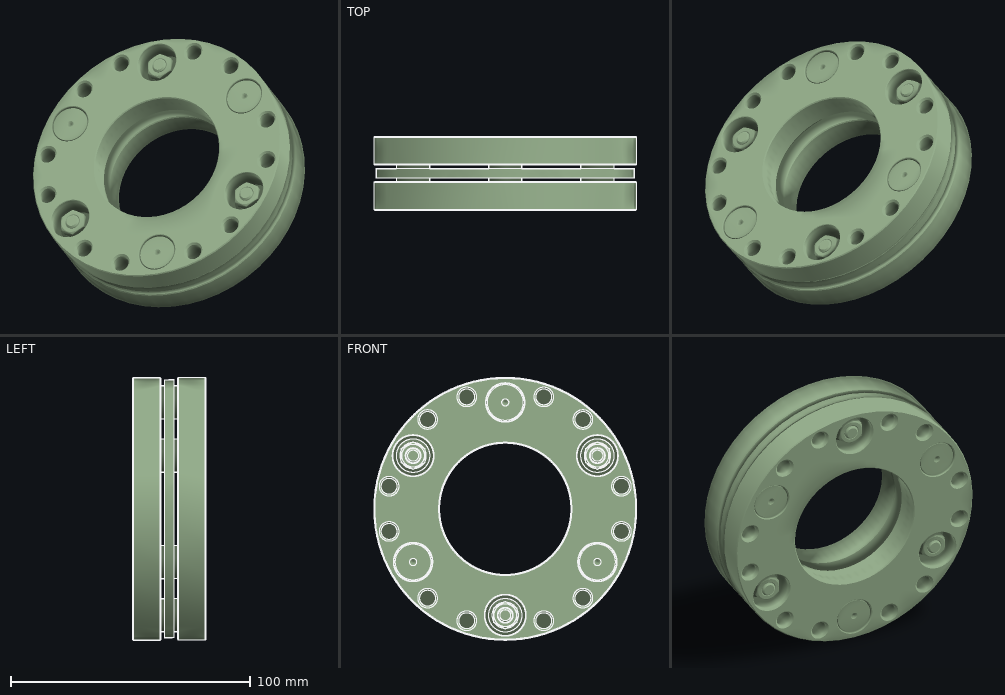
import cadquery as cq
import math

OVERALL_WIDTH = 30.9
HUB_DIAMETER = 110.0
HUB_BORE = 55.0
HUB_THICKNESS = 12.0
HUB_EDGE_CHAMFER = 0.4

DISC_DIAMETER = 108.0
DISC_BORE = 65.0
DISC_THICKNESS = 4.0

BOLT_COUNT = 6
BOLT_CIRCLE_RADIUS = 44.5
HEAD_DIAMETER = 15.0
HEAD_RECESS_DIAMETER = 16.0
HEAD_RECESS_DEPTH = 4.0
HEAD_SETBACK = 0.5
CENTRE_MARK_DIAMETER = 3.0
CENTRE_MARK_ANGLE = 120.0
CENTRE_MARK_DEPTH = CENTRE_MARK_DIAMETER / 2 / math.tan(math.radians(CENTRE_MARK_ANGLE / 2))
CLEARANCE_HOLE_DIAMETER = 17.0
BOLT_HOLE_CHAMFER = 0.25
SLEEVE_DIAMETER = 14.0
SLEEVE_TIP_DIAMETER = 11.0
SLEEVE_TAPER_ANGLE = 30.0
SLEEVE_TAPER_LENGTH = (SLEEVE_DIAMETER - SLEEVE_TIP_DIAMETER) / 2 * math.tan(math.radians(SLEEVE_TAPER_ANGLE))
NUT_SIDES = 6
NUT_ACROSS_FLATS = 10.0
NUT_ACROSS_CORNERS = NUT_ACROSS_FLATS / math.cos(math.pi / NUT_SIDES)
NUT_FACE_DIAMETER = 9.5
NUT_HEIGHT = 5.0
NUT_CHAMFER_ANGLE = 30.0
NUT_TOP_DEPTH = 3.0
NUT_COUNTERSINK_DIAMETER = 6.6
STUD_DIAMETER = 6.0
NUT_COUNTERSINK_DEPTH = (NUT_COUNTERSINK_DIAMETER - STUD_DIAMETER) / 2
STUD_CHAMFER = 0.7
STUD_END_DEPTH = 2.3

MOUNTING_CIRCLE_RADIUS = 49.5
MOUNTING_HALF_ANGLE = 11.0
MOUNTING_HOLE_DIAMETER = 6.65
MOUNTING_MOUTH_DIAMETER = 8.2
MOUNTING_CHAMFER = (MOUNTING_MOUTH_DIAMETER - MOUNTING_HOLE_DIAMETER) / 2

BOLT_PITCH = 360.0 / BOLT_COUNT
FRONT_FACE = -OVERALL_WIDTH / 2
HUB_INNER_FACE = FRONT_FACE + HUB_THICKNESS


def polar_point(radius, angle):
    """Point (x, z) at an angle in degrees, measured clockwise from +Z."""
    return radius * math.sin(math.radians(angle)), radius * math.cos(math.radians(angle))


def cone(center, y_start, y_end, start_diameter, end_diameter):
    """Round body along Y whose diameter changes evenly from one end to the other."""
    x, z = center
    body = cq.Solid.makeCone(
        start_diameter / 2, end_diameter / 2, y_end - y_start, cq.Vector(x, y_start, z), cq.Vector(0, 1, 0)
    )
    return cq.Workplane(obj=body)


def cylinder(center, y_start, y_end, diameter):
    """Round body along Y between two Y positions."""
    x, z = center
    body = cq.Solid.makeCylinder(
        diameter / 2, y_end - y_start, cq.Vector(x, y_start, z), cq.Vector(0, 1, 0)
    )
    return cq.Workplane(obj=body)


def ring(y_start, y_end, outer_diameter, inner_diameter):
    """Ring about the Y axis."""
    axis = (0, 0)
    return cylinder(axis, y_start, y_end, outer_diameter).cut(cylinder(axis, y_start, y_end, inner_diameter))


def headed_angles():
    """Bolts whose heads lie in the front hub."""
    return [index * BOLT_PITCH for index in range(0, BOLT_COUNT, 2)]


def nut_angles():
    """Bolts whose nuts lie in the front hub."""
    return [index * BOLT_PITCH for index in range(1, BOLT_COUNT, 2)]


def front_hole(center, depth, diameter, chamfer):
    """Cutter for a hole from the front face whose mouth has a 45 degree chamfer."""
    mouth = cone(center, FRONT_FACE, FRONT_FACE + chamfer, diameter + 2 * chamfer, diameter)
    return cylinder(center, FRONT_FACE, FRONT_FACE + depth, diameter).union(mouth)


def cut_mounting_holes(hub):
    for index in range(BOLT_COUNT):
        pair_angle = (index + 0.5) * BOLT_PITCH
        for offset in (-MOUNTING_HALF_ANGLE, MOUNTING_HALF_ANGLE):
            center = polar_point(MOUNTING_CIRCLE_RADIUS, pair_angle + offset)
            hub = hub.cut(front_hole(center, HUB_THICKNESS, MOUNTING_HOLE_DIAMETER, MOUNTING_CHAMFER))
    return hub


def make_bolt_head(center):
    """Bolt head with a conical centre mark, standing in its recess just below the hub face."""
    head_face = FRONT_FACE + HEAD_SETBACK
    head = cylinder(center, head_face, FRONT_FACE + HEAD_RECESS_DEPTH, HEAD_DIAMETER)
    mark = cone(center, head_face, head_face + CENTRE_MARK_DEPTH, CENTRE_MARK_DIAMETER, 0)
    return head.cut(mark)


def make_front_hub():
    hub = ring(FRONT_FACE, HUB_INNER_FACE, HUB_DIAMETER, HUB_BORE)
    hub = hub.faces("<Y or >Y").edges().chamfer(HUB_EDGE_CHAMFER)
    hub = cut_mounting_holes(hub)
    for angle in nut_angles():
        center = polar_point(BOLT_CIRCLE_RADIUS, angle)
        hub = hub.cut(front_hole(center, HUB_THICKNESS, CLEARANCE_HOLE_DIAMETER, BOLT_HOLE_CHAMFER))
    for angle in headed_angles():
        center = polar_point(BOLT_CIRCLE_RADIUS, angle)
        hub = hub.cut(front_hole(center, HEAD_RECESS_DEPTH, HEAD_RECESS_DIAMETER, BOLT_HOLE_CHAMFER))
        hub = hub.union(make_bolt_head(center))
        hub = hub.union(cylinder(center, HUB_INNER_FACE, 0, SLEEVE_DIAMETER))
    return hub


def make_nut(center):
    """Hexagon nut with two corners along Z and chamfered corners and a countersink on its outer face."""
    top = FRONT_FACE + NUT_TOP_DEPTH
    cone_growth = 2 * NUT_HEIGHT / math.tan(math.radians(NUT_CHAMFER_ANGLE))
    hexagon = (
        cq.Workplane("XZ", origin=(center[0], top, center[1]))
        .transformed(rotate=(0, 0, 90))
        .polygon(NUT_SIDES, NUT_ACROSS_CORNERS)
        .extrude(-NUT_HEIGHT)
    )
    envelope = cone(center, top, top + NUT_HEIGHT, NUT_FACE_DIAMETER, NUT_FACE_DIAMETER + cone_growth)
    countersink = cone(center, top, top + NUT_COUNTERSINK_DEPTH, NUT_COUNTERSINK_DIAMETER, STUD_DIAMETER)
    return hexagon.intersect(envelope).cut(countersink)


def make_nut_end(center):
    """Sleeve with a tapered end, the nut seated on it and the stud end through the nut."""
    nut_seat = FRONT_FACE + NUT_TOP_DEPTH + NUT_HEIGHT
    taper_end = nut_seat + SLEEVE_TAPER_LENGTH
    stud_end = FRONT_FACE + STUD_END_DEPTH
    sleeve = cylinder(center, taper_end, 0, SLEEVE_DIAMETER)
    taper = cone(center, nut_seat, taper_end, SLEEVE_TIP_DIAMETER, SLEEVE_DIAMETER)
    stud = cylinder(center, stud_end, nut_seat, STUD_DIAMETER).faces("<Y").chamfer(STUD_CHAMFER)
    return sleeve.union(taper).union(make_nut(center)).union(stud)


def make_front_half():
    """Front hub with everything of the bolts that lies in front of the mid-plane."""
    half = make_front_hub()
    half = half.union(ring(-DISC_THICKNESS / 2, 0, DISC_DIAMETER, DISC_BORE))
    for angle in nut_angles():
        half = half.union(make_nut_end(polar_point(BOLT_CIRCLE_RADIUS, angle)))
    return half


front_half = make_front_half()
rear_half = front_half.rotate((0, 0, 0), (0, 0, 1), 180).rotate((0, 0, 0), (0, 1, 0), BOLT_PITCH)
result = front_half.union(rear_half)